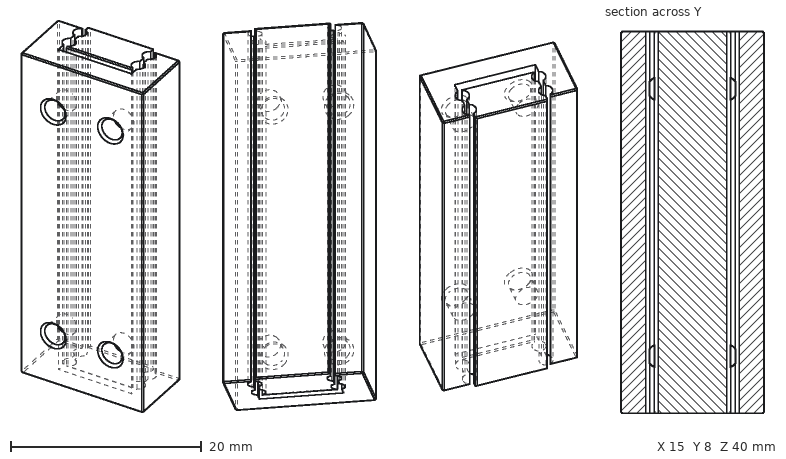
import cadquery as cq

length = 40.0
total_height = 8.0
edge_chamfer = 0.15

base_width = 15.0
base_height = 7.5
channel_width = 8.95
channel_floor = 2.65

rail_width = 8.0
rail_bottom = 3.5

track_diameter = 1.5
track_x = (channel_width + rail_width) / 4
track_heights = (4.4, 6.6)

hole_diameter = 2.5
countersink_diameter = 3.1
countersink_depth = (countersink_diameter - hole_diameter) / 2
hole_pitch_x = 7.0
hole_pitch_z = 28.0


def bar(width, bottom, top):
    """Full-length block centred on X and Z, between two heights along Y."""
    return cq.Workplane("XY").box(width, top - bottom, length).translate((0, (bottom + top) / 2, 0))


def make_ball_tracks():
    """Four full-length cylinders, two on each side of the rail."""
    centres = [(side * track_x, height) for side in (-1, 1) for height in track_heights]
    return (
        cq.Workplane("XY")
        .workplane(offset=-length / 2)
        .pushPoints(centres)
        .circle(track_diameter / 2)
        .extrude(length)
    )


def make_mounting_hole(x, z):
    """Cutter for one hole: a 45 degree countersink, then a bore up to the channel floor."""
    bore = cq.Solid.makeCylinder(
        hole_diameter / 2, channel_floor, cq.Vector(x, 0, z), cq.Vector(0, 1, 0)
    )
    countersink = cq.Solid.makeCone(
        countersink_diameter / 2,
        hole_diameter / 2,
        countersink_depth,
        cq.Vector(x, 0, z),
        cq.Vector(0, 1, 0),
    )
    return bore.fuse(countersink)


def make_base():
    """U-shaped base with ball tracks and four mounting holes."""
    base = bar(base_width, 0, base_height).edges().chamfer(edge_chamfer)
    base = base.cut(bar(channel_width, channel_floor, total_height))
    base = base.cut(make_ball_tracks())
    for x_side in (-1, 1):
        for z_side in (-1, 1):
            base = base.cut(make_mounting_hole(x_side * hole_pitch_x / 2, z_side * hole_pitch_z / 2))
    return base


def make_rail():
    """Rail with ball tracks; chamfered all round the top and at both ends of the underside."""
    rail = bar(rail_width, rail_bottom, total_height)
    rail = rail.faces(">Y").edges().chamfer(edge_chamfer)
    rail = rail.faces("<Y").edges("|X").chamfer(edge_chamfer)
    return rail.cut(make_ball_tracks())


base = make_base()
rail = make_rail()
result = cq.Compound.makeCompound([base.val(), rail.val()])